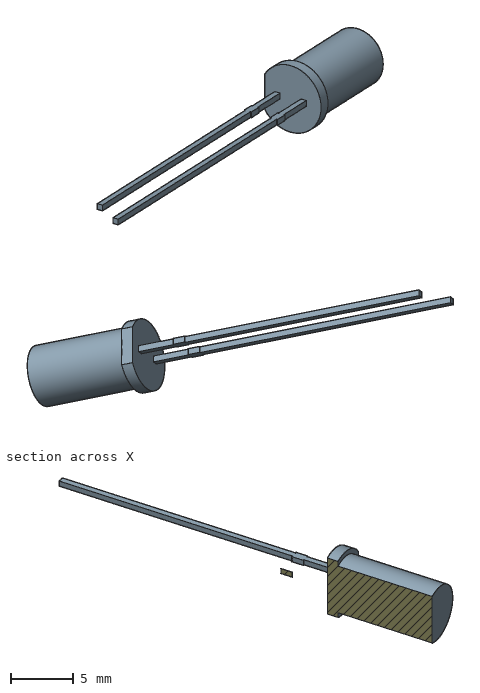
import cadquery as cq

total_length = 36.6
body_length = 9.6
body_diameter = 5.0
flange_diameter = 5.9
flange_thickness = 1.0

lead_pitch = 2.53
lead_size = 0.5
lead_step = 1.5

crimp_width = 0.7
crimp_start = 3.2
crimp_length = 1.05

long_lead_length = total_length - body_length
short_lead_length = long_lead_length - lead_step


def make_disc(diameter, length):
    """Cylinder about the Y axis, from the base toward +Y."""
    return cq.Workplane("XZ").circle(diameter / 2).extrude(-length)


def make_flange():
    """Round flange cut flat on its -X side, flush with the body."""
    flange = make_disc(flange_diameter, flange_thickness)
    cutter = cq.Workplane("XY").box(flange_diameter, flange_diameter, flange_diameter)
    cutter_center_x = -(body_diameter + flange_diameter) / 2
    return flange.cut(cutter.translate((cutter_center_x, 0, 0)))


def make_bar(width, start, length):
    """Rectangular bar along -Y that begins the given distance from the base."""
    section = cq.Workplane("XZ", origin=(0, -start, 0)).rect(width, lead_size)
    return section.extrude(length)


def make_lead(center_x, length):
    """Square lead running toward -Y, with a wider crimp near the base."""
    shaft = make_bar(lead_size, 0, length)
    crimp = make_bar(crimp_width, crimp_start, crimp_length)
    return shaft.union(crimp).translate((center_x, 0, 0))


body = make_disc(body_diameter, body_length)
short_lead = make_lead(-lead_pitch / 2, short_lead_length)
long_lead = make_lead(lead_pitch / 2, long_lead_length)

result = body.union(make_flange()).union(short_lead).union(long_lead)